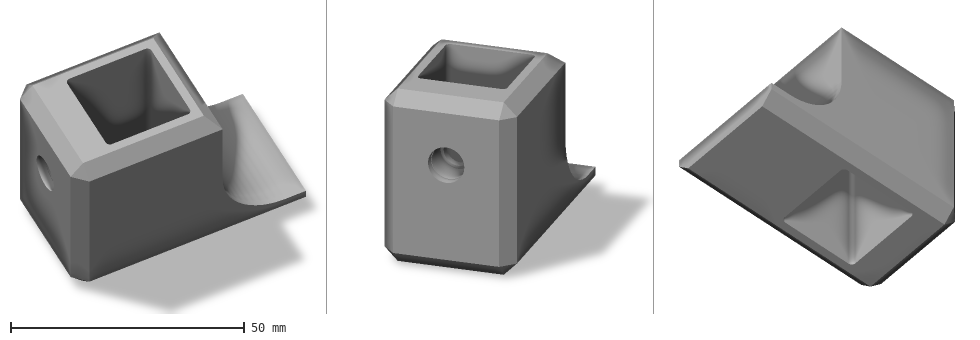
import cadquery as cq

width = 30.0
body_depth = 35.0
foot_length = 20.0
height = 40.0
foot_thickness = 5.0
cove_radius = 15.0
chamfer_size = 3.0

socket_size = 20.2
socket_corner_radius = 1.0
socket_center_y = 20.0

hole_height = 25.0
mouth_diameter = 8.2
mouth_depth = 2.0
sleeve_diameter = 8.0
sleeve_depth = 8.0
bore_diameter = 6.6

total_depth = body_depth + foot_length


def make_body():
    """Side profile in the YZ plane, extruded across the width and chamfered."""
    cove_tangent_y = body_depth + cove_radius
    cove_top_z = foot_thickness + cove_radius
    profile = (
        cq.Workplane("YZ")
        .moveTo(0, 0)
        .lineTo(total_depth, 0)
        .lineTo(total_depth, foot_thickness)
        .lineTo(cove_tangent_y, foot_thickness)
        .radiusArc((body_depth, cove_top_z), cove_radius)
        .lineTo(body_depth, height)
        .lineTo(0, height)
        .close()
    )
    body = profile.extrude(width / 2, both=True)
    return body.faces("<Y or >Z").edges().add(body.faces("<Z").edges("|Y")).chamfer(chamfer_size)


def make_socket():
    return (
        cq.Workplane("XY")
        .center(0, socket_center_y)
        .rect(socket_size, socket_size)
        .extrude(height)
        .edges("|Z")
        .fillet(socket_corner_radius)
    )


def make_bore(diameter, depth):
    """Cylinder running back from the front face on the screw axis."""
    front_plane = cq.Workplane("XZ", origin=(0, 0, hole_height))
    return front_plane.circle(diameter / 2).extrude(-depth)


def make_screw_hole():
    mouth = make_bore(mouth_diameter, mouth_depth)
    sleeve = make_bore(sleeve_diameter, sleeve_depth)
    bore = make_bore(bore_diameter, socket_center_y)
    return mouth.union(sleeve).union(bore)


result = make_body().cut(make_socket()).cut(make_screw_hole())